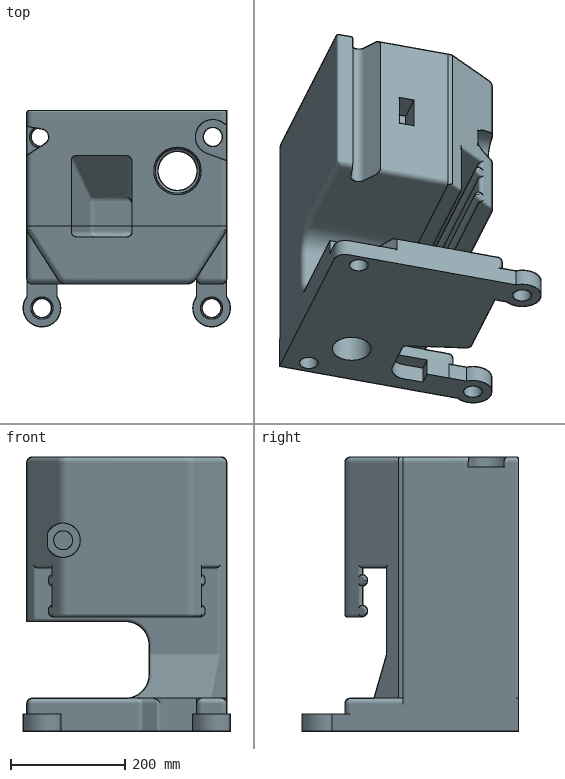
import cadquery as cq
import math

half_width = 175.0
depth = 304.0
height = 480.0
base_height = 58.0
ear_thickness = 30.6
edge_radius = 10.0
back_edge_radius = 4.0
cover_edge_radius = 5.0

overall_width = 362.79
overall_depth = 378.89
ear_radius = 33.0
ear_x = overall_width / 2 - ear_radius
ear_hole_y = ear_radius - overall_depth
ear_neck_width = 53.0
rear_hole_x = 150.5
rear_hole_y = -46.5
mount_hole_radius = 16.4
mount_hole_chamfer = 3.0

lug_corner_radius = 20.0
lug_notch_radius = 41.0
lug_notch_back_x = -130.0
lug_notch_side_y = -108.6
groove_radius = 13.7
groove_side_ys = (-28.0, -79.0)
top_notch_radius = 30.5
top_notch_side_ys = (-25.5, -88.0)
top_notch_depth = 17.5

recess_front_x = 27.0
recess_back_x = 54.0
recess_back_y = -190.0
recess_inner_radius = 8.0
leg_inner_x = half_width - ear_neck_width
undercut_side_x = 147.0
undercut_front_y = -254.0
undercut_radius = 28.0

split_y = -202.5
bevel_side_y = -210.4
bevel_front_x = 115.0
bevel_corner_radius = 20.0
bevel_slope = (half_width - bevel_front_x) / (depth + bevel_side_y)
throat_top_z = 192.0
throat_wall_x = 39.0
throat_radius = 41.0

web_front_y = -231.0
web_slope_top_z = 134.5
web_foot_y = -253.0
flange_back_y = -272.5
flange_bottom_z = 200.0
slot_ceiling_z = 286.0
tooth_radius = 10.0
tooth_setback = 1.5
tooth_end_radius = 4.0
tooth_zs = (210.5, 264.0)

cover_hole_x = -111.3
cover_hole_z = 334.3
cover_hole_radius = 16.6
counterbore_radius = 30.0
counterbore_floor_y = -267.6

shaft_x = 88.8
shaft_y = -106.0
shaft_radius = 34.0
shaft_seat_radius = 39.0
shaft_seat_depth = 11.6
shaft_relief_radius = 41.0
shaft_relief_depth = 28.6
shaft_cone_end_depth = 32.8
shaft_rim_chamfer = 2.5

hopper_left_x, hopper_right_x = -97.0, 9.2
hopper_back_y, hopper_front_y = -79.3, -221.3
hopper_floor_left_x = -61.5
hopper_floor_back_y = -154.0
hopper_depth = 104.0
hopper_radius = 9.0

window_back_y, window_front_y = -113.3, -139.9
window_bottom_z, window_top_z = 306.0, 361.8
window_depth = 50.0

selection_margin = 0.1


def box(x0, x1, y0, y1, z0, z1):
    """Axis-aligned block between two opposite corners."""
    return cq.Workplane("XY").box(x1 - x0, y1 - y0, z1 - z0, centered=False).translate((x0, y0, z0))


def cylinder(x, y, radius, z0, z1):
    """Vertical cylinder."""
    return cq.Workplane("XY", origin=(x, y, z0)).circle(radius).extrude(z1 - z0)


def nearest(x, y, z):
    """Selects the edge closest to a point."""
    return cq.selectors.NearestToPointSelector((x, y, z))


def edges_in_front_of(y):
    """Selects the edges whose centres lie at or in front of a plane across Y."""
    reach = 2 * height
    return cq.selectors.BoxSelector((-reach, -reach, -reach), (reach, y + selection_margin, reach))


def tangent_point(center, radius, point, side):
    """Point where the line from an outside point touches a circle; side is +1 or -1."""
    dx, dy = point[0] - center[0], point[1] - center[1]
    angle = math.atan2(dy, dx) + side * math.acos(radius / math.hypot(dx, dy))
    return center[0] + radius * math.cos(angle), center[1] + radius * math.sin(angle)


def notch(center, radius, outline, z0, z1):
    """Round-ended notch: a circle joined to a polygon that reaches the outer faces."""
    sides = cq.Workplane("XY", origin=(0, 0, z0)).polyline([center, *outline]).close().extrude(z1 - z0)
    return sides.union(cylinder(*center, radius, z0, z1))


def side_notch(sign, radius, side_ys, z0, z1):
    """Notch round a rear mounting hole with tangent walls to the left (-1) or right (+1) side face."""
    center = (sign * rear_hole_x, rear_hole_y)
    back, front = [(sign * half_width, y) for y in side_ys]
    back_touch = tangent_point(center, radius, back, sign)
    front_touch = tangent_point(center, radius, front, -sign)
    return notch(center, radius, [back_touch, back, front, front_touch], z0, z1)


def mounting_hole(x, y):
    """Through hole of the base with a chamfered rim at ear height."""
    rim = (
        cq.Workplane("XY", origin=(x, y, ear_thickness))
        .circle(mount_hole_radius + mount_hole_chamfer)
        .workplane(offset=-mount_hole_chamfer)
        .circle(mount_hole_radius)
        .loft()
    )
    return cylinder(x, y, mount_hole_radius, 0, ear_thickness).union(rim)


def make_base():
    base = (
        cq.Workplane("XY")
        .polyline([
            (-half_width, 0),
            (half_width, 0),
            (half_width, -depth),
            (leg_inner_x, -depth),
            (leg_inner_x, recess_back_y),
            (recess_back_x, recess_back_y),
            (recess_front_x, -depth),
            (-half_width, -depth),
        ])
        .close()
        .extrude(base_height)
    )
    base = base.edges(nearest(recess_back_x, recess_back_y, base_height / 2)).fillet(recess_inner_radius)
    base = base.edges("|Z").edges(edges_in_front_of(-depth)).fillet(edge_radius)
    base = base.faces(">Z").edges(edges_in_front_of(-edge_radius)).fillet(edge_radius)

    foot = box(throat_wall_x, half_width, split_y, 0, 0, base_height)
    recess_area = box(recess_front_x, leg_inner_x, -depth, recess_back_y, 0, base_height)
    base = base.union(foot.cut(recess_area))

    for sign in (-1, 1):
        x = sign * ear_x
        neck_left, neck_right = x - ear_neck_width / 2, x + ear_neck_width / 2
        neck = box(neck_left, neck_right, ear_hole_y, -depth + edge_radius, 0, ear_thickness)
        base = base.union(neck).union(cylinder(x, ear_hole_y, ear_radius, 0, ear_thickness))
        base = base.cut(mounting_hole(x, ear_hole_y))

    lug_center = (-rear_hole_x, rear_hole_y)
    lug_front = (-half_width, lug_notch_side_y)
    lug_outline = [
        (lug_notch_back_x, rear_hole_y),
        (lug_notch_back_x, 0),
        (-half_width, 0),
        lug_front,
        tangent_point(lug_center, lug_notch_radius, lug_front, 1),
    ]
    base = base.cut(notch(lug_center, lug_notch_radius, lug_outline, ear_thickness, base_height))
    base = base.edges(nearest(-half_width, 0, ear_thickness / 2)).fillet(lug_corner_radius)
    base = base.cut(mounting_hole(*lug_center))

    undercut_left = leg_inner_x - undercut_radius
    undercut = box(undercut_left, undercut_side_x, undercut_front_y, recess_back_y, 0, ear_thickness)
    undercut = undercut.edges("|Z and >X and >Y").fillet(undercut_radius)
    return base.cut(undercut)


def make_head_block():
    """Bevelled block above the base, before it is divided into frame head and cover."""
    block = (
        cq.Workplane("XY", origin=(0, 0, base_height))
        .polyline([
            (-half_width, 0),
            (half_width, 0),
            (half_width, bevel_side_y),
            (bevel_front_x, -depth),
            (-bevel_front_x, -depth),
            (-half_width, bevel_side_y),
        ])
        .close()
        .extrude(height - base_height)
    )
    block = block.edges("|Z and <Y").fillet(bevel_corner_radius)
    return block.faces(">Z").edges("not(>Y)").fillet(edge_radius)


def make_throat():
    """Rounded opening between base and head, open to the left."""
    throat = box(-2 * half_width, throat_wall_x, -2 * depth, depth, base_height, throat_top_z)
    return throat.edges("|Y and >X").fillet(throat_radius)


def make_hopper():
    """Pocket with vertical front and right walls and sloping back and left walls."""
    floor_width = hopper_right_x - hopper_floor_left_x
    floor_length = hopper_floor_back_y - hopper_front_y
    mouth_width = hopper_right_x - hopper_left_x
    mouth_length = hopper_back_y - hopper_front_y
    hopper = (
        cq.Workplane("XY", origin=(hopper_right_x, hopper_front_y, height - hopper_depth))
        .center(-floor_width / 2, floor_length / 2)
        .rect(floor_width, floor_length)
        .workplane(offset=hopper_depth)
        .center((floor_width - mouth_width) / 2, (mouth_length - floor_length) / 2)
        .rect(mouth_width, mouth_length)
        .loft(ruled=True)
    )
    return hopper.edges("not(>Z or (<Z and >X) or (<Z and <X))").fillet(hopper_radius)


def make_shaft_bore():
    """Stepped bore: chamfered rim, seat, cone and through bore."""
    half_profile = [
        (0, 0),
        (shaft_radius, 0),
        (shaft_radius, height - shaft_cone_end_depth),
        (shaft_relief_radius, height - shaft_relief_depth),
        (shaft_seat_radius, height - shaft_seat_depth),
        (shaft_seat_radius, height - shaft_rim_chamfer),
        (shaft_seat_radius + shaft_rim_chamfer, height),
        (0, height),
    ]
    bore = cq.Workplane("XZ").polyline(half_profile).close().revolve(360, (0, 0), (0, 1))
    return bore.translate((shaft_x, shaft_y, 0))


def make_frame(head_block, throat, hopper):
    head = head_block.intersect(box(-half_width, half_width, split_y, 0, base_height, height))
    head = head.edges(">Y").edges("|Z or >Z").fillet(back_edge_radius)
    head = head.cut(throat)
    head = head.edges("|Y and <X").edges("<Z").fillet(edge_radius)
    head = head.cut(hopper)
    head = head.cut(side_notch(-1, groove_radius, groove_side_ys, throat_top_z, height))
    head = head.cut(side_notch(1, top_notch_radius, top_notch_side_ys, height - top_notch_depth, height))
    window_end_x = -half_width + window_depth
    window = box(-half_width, window_end_x, window_front_y, window_back_y, window_bottom_z, window_top_z)
    head = head.cut(window)
    frame = make_base().union(head)
    frame = frame.cut(make_shaft_bore())
    return frame.cut(cylinder(rear_hole_x, rear_hole_y, mount_hole_radius, 0, height))


def rim_selector(x0, x1, y_back, z0, z1):
    """Selects the edges that lie completely inside a box reaching from the front to y_back."""
    low = (x0 - selection_margin, -depth - selection_margin, z0 - selection_margin)
    high = (x1 + selection_margin, y_back + selection_margin, z1 + selection_margin)
    return cq.selectors.BoxSelector(low, high, boundingbox=True)


def make_cover(head_block, throat, hopper):
    side_profile = [
        (split_y, base_height),
        (split_y, height),
        (-depth, height),
        (-depth, flange_bottom_z),
        (flange_back_y, flange_bottom_z),
        (flange_back_y, slot_ceiling_z),
        (web_front_y, slot_ceiling_z),
        (web_front_y, web_slope_top_z),
        (web_foot_y, base_height),
    ]
    side = cq.Workplane("YZ").polyline(side_profile).close().extrude(half_width, both=True)
    cover = head_block.intersect(side).cut(throat)

    web_edge_x = half_width - (bevel_side_y - web_front_y) * bevel_slope
    right_rims = rim_selector(0, web_edge_x, web_front_y, base_height, slot_ceiling_z)
    left_rims = rim_selector(-half_width, -bevel_front_x, bevel_side_y, throat_top_z, slot_ceiling_z)
    throat_rim = rim_selector(-web_edge_x, throat_wall_x, web_front_y, base_height, throat_top_z)
    cover = cover.edges(right_rims + left_rims + throat_rim).fillet(cover_edge_radius)

    for z in tooth_zs:
        tooth = cq.Workplane("YZ", origin=(0, flange_back_y - tooth_setback, z)).circle(tooth_radius)
        tooth = tooth.extrude(half_width, both=True).intersect(head_block)
        cover = cover.union(tooth.edges("%ELLIPSE").fillet(tooth_end_radius))

    counterbore = cq.Workplane("XZ", origin=(cover_hole_x, counterbore_floor_y, cover_hole_z))
    cover = cover.cut(counterbore.circle(counterbore_radius).extrude(depth))
    cover = cover.cut(counterbore.circle(cover_hole_radius).extrude(counterbore_floor_y - split_y))
    return cover.cut(hopper)


head_block = make_head_block()
throat = make_throat()
hopper = make_hopper()
frame = make_frame(head_block, throat, hopper)
cover = make_cover(head_block, throat, hopper)

result = cq.Compound.makeCompound([frame.val(), cover.val()])